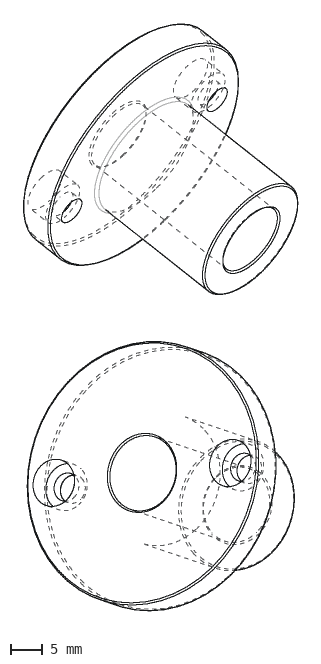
import cadquery as cq

flange_diameter = 42.0
flange_thickness = 6.0
hub_diameter = 21.0
total_length = 30.0
bore_diameter = 12.0

edge_chamfer = 0.3
root_fillet = 0.5

screw_offset = 16.0
screw_hole_diameter = 4.5
counterbore_diameter = 7.5
counterbore_depth = 4.0


def cylinder_along_x(diameter, length, y=0):
    """Solid cylinder from the flange face (X = 0) toward +X."""
    return cq.Workplane("YZ").center(y, 0).circle(diameter / 2).extrude(length)


def counterbored_hole(y):
    """Cutting tool for one screw hole through the flange."""
    through_hole = cylinder_along_x(screw_hole_diameter, flange_thickness, y)
    return through_hole.union(cylinder_along_x(counterbore_diameter, counterbore_depth, y))


smallest_circle = cq.selectors.RadiusNthSelector(0)

flange = cylinder_along_x(flange_diameter, flange_thickness).edges().chamfer(edge_chamfer)

hub = cylinder_along_x(hub_diameter, total_length).faces(">X").edges().chamfer(edge_chamfer)

body = flange.union(hub)
shoulder_radius = (flange_diameter + hub_diameter) / 4
shoulder_point = (flange_thickness, 0, shoulder_radius)
body = body.faces(cq.selectors.NearestToPointSelector(shoulder_point))
body = body.edges(smallest_circle).fillet(root_fillet)

body = body.cut(cylinder_along_x(bore_diameter, total_length))
bore_mouths = body.faces("<X or >X").edges(smallest_circle)
body = bore_mouths.chamfer(edge_chamfer)

for side in (-1, 1):
    body = body.cut(counterbored_hole(side * screw_offset))

result = body